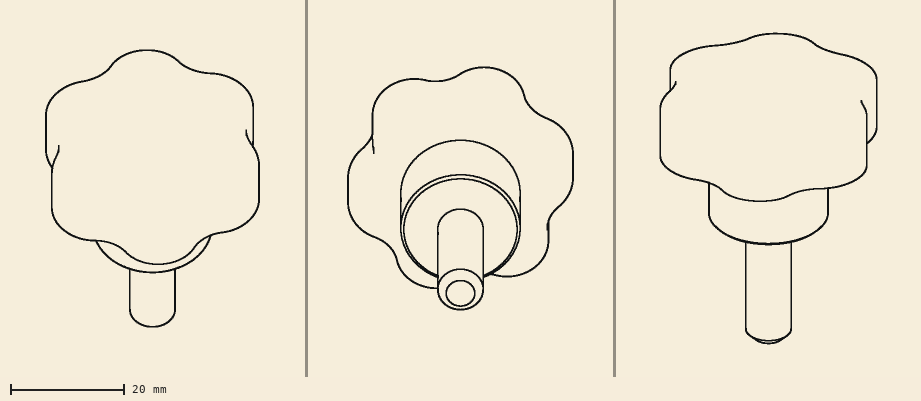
import cadquery as cq
import math

total_height = 53.0
hub_bottom = 24.8
head_bottom = 38.75

stud_radius = 8.0 / 2
stud_chamfer = 1.5

hub_radius = 21.0 / 2
hub_chamfer = 0.55

lobe_count = 6
lobe_radius = 7.0
head_radius = 40.0 / 2
valley_radius = 6.0
lobe_center_distance = head_radius - lobe_radius
dome_radius = 75.0
underside_flat_radius = 13.8
underside_curve_radius = 23.85
top_rim_fillet = 1.0
bottom_rim_fillet = 0.7
envelope_margin = 0.55


def polar(distance, angle):
    """Point in the XY plane at a distance and an angle in radians."""
    return (distance * math.cos(angle), distance * math.sin(angle))


def lobed_outline():
    """Closed outline of convex lobe arcs blended tangentially into concave valley arcs."""
    half_pitch = math.pi / lobe_count
    half_chord = lobe_center_distance * math.sin(half_pitch)
    valley_center_distance = lobe_center_distance * math.cos(half_pitch) + math.sqrt(
        (lobe_radius + valley_radius) ** 2 - half_chord**2
    )
    lobe_x = lobe_center_distance
    valley_x, valley_y = polar(valley_center_distance, half_pitch)
    share = lobe_radius / (lobe_radius + valley_radius)
    tangent_x = lobe_x + share * (valley_x - lobe_x)
    tangent_y = share * valley_y
    tangent_distance = math.hypot(tangent_x, tangent_y)
    tangent_angle = math.atan2(tangent_y, tangent_x)

    outline = cq.Workplane("XY").moveTo(*polar(tangent_distance, -tangent_angle))
    for index in range(lobe_count):
        angle = 2 * half_pitch * index
        next_angle = angle + 2 * half_pitch
        outline = outline.threePointArc(
            polar(head_radius, angle),
            polar(tangent_distance, angle + tangent_angle),
        ).threePointArc(
            polar(valley_center_distance - valley_radius, angle + half_pitch),
            polar(tangent_distance, next_angle - tangent_angle),
        )
    return outline.close()


def head_envelope():
    """Round body with a spherical top and a flat underside that curves up towards its rim."""
    envelope_radius = head_radius + envelope_margin
    dome_drop = dome_radius - math.sqrt(dome_radius**2 - envelope_radius**2)
    dome_mid_radius = envelope_radius / 2
    dome_mid_drop = dome_radius - math.sqrt(dome_radius**2 - dome_mid_radius**2)

    curve_angle = math.asin((envelope_radius - underside_flat_radius) / underside_curve_radius)

    def underside_curve_point(angle):
        radius = underside_flat_radius + underside_curve_radius * math.sin(angle)
        rise = underside_curve_radius * (1 - math.cos(angle))
        return (radius, head_bottom + rise)

    return (
        cq.Workplane("XZ")
        .moveTo(0, head_bottom)
        .lineTo(underside_flat_radius, head_bottom)
        .threePointArc(underside_curve_point(curve_angle / 2), underside_curve_point(curve_angle))
        .lineTo(envelope_radius, total_height - dome_drop)
        .threePointArc((dome_mid_radius, total_height - dome_mid_drop), (0, total_height))
        .close()
        .revolve(360, (0, 0), (0, 1))
    )


def fillet_rim(head, radius, bottom, top):
    """Round the lobed edges whose centers lie between two heights, but not the flat circle."""
    rim = [
        edge
        for edge in head.edges("not |Z").vals()
        if bottom < edge.Center().z < top
        and math.hypot(edge.Center().x, edge.Center().y) > underside_flat_radius
    ]
    return head.newObject(rim).fillet(radius)


def make_head():
    """Lobed prism trimmed to the round envelope, with rounded rims."""
    head = lobed_outline().extrude(total_height).intersect(head_envelope())
    middle_height = (head_bottom + total_height) / 2
    head = fillet_rim(head, top_rim_fillet, middle_height, total_height)
    return fillet_rim(head, bottom_rim_fillet, head_bottom, middle_height)


def make_hub_and_stud():
    stud = cq.Workplane("XY").circle(stud_radius).extrude(hub_bottom).faces("<Z").chamfer(stud_chamfer)
    hub = (
        cq.Workplane("XY", origin=(0, 0, hub_bottom))
        .circle(hub_radius)
        .extrude(head_bottom - hub_bottom)
        .faces("<Z")
        .chamfer(hub_chamfer)
    )
    return hub.union(stud)


result = make_head().union(make_hub_and_stud())